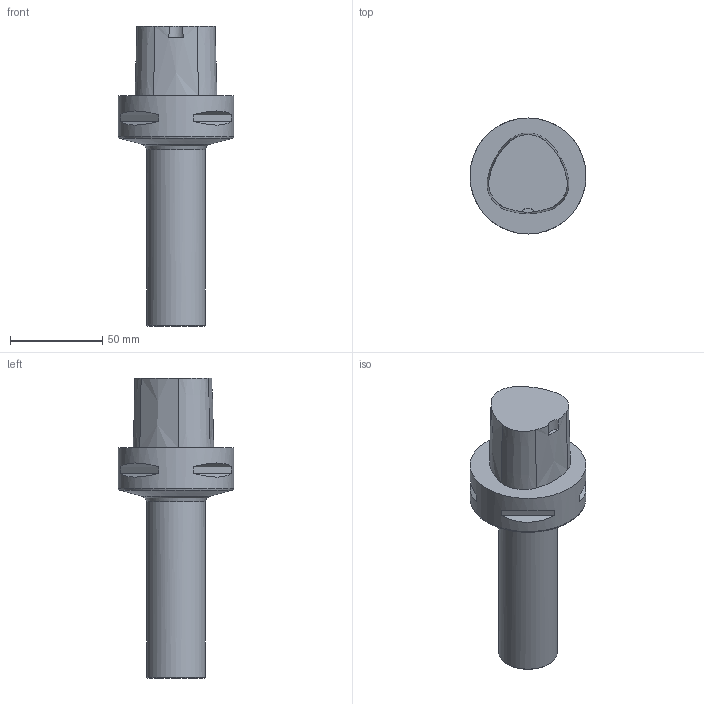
import cadquery as cq
import math

total_length = 163.0

polygon_length = 38.0
polygon_flat_reach = 20.5
polygon_lobe_reach = 23.35
polygon_flat_radius = 36.4
polygon_taper = 1 / 40
polygon_sides = 3

keyway_radius = 5.0
keyway_floor_offset = 17.7
keyway_length = 6.5

flange_diameter = 63.0
flange_corner_depth = 22.75
flange_edge_radius = 1.0
cone_angle = math.radians(15)

pocket_count = 4
pocket_start_angle = 45.0
pocket_depth_below_face = 12.0
pocket_floor_distance = 27.9
pocket_floor_width = 3.5
pocket_flank_angle = math.radians(30)

bar_diameter = 32.0
bar_neck_radius = 3.0
bar_end_chamfer = 0.5

flange_radius = flange_diameter / 2
bar_radius = bar_diameter / 2
bar_bottom = polygon_length - total_length


def polar(radius, angle, height):
    """Point at a radius and an angle in degrees, at a given height."""
    return cq.Vector(
        radius * math.cos(math.radians(angle)),
        radius * math.sin(math.radians(angle)),
        height,
    )


def polygon_outline(height):
    """Three lobe arcs, one toward +Y, joined tangentially by three flat arcs."""
    inset = polygon_taper * height
    flat_center = polygon_flat_radius - polygon_flat_reach
    radius_excess = polygon_flat_radius - polygon_lobe_reach
    lobe_center = (flat_center**2 - radius_excess**2) / (2 * radius_excess - flat_center)
    half_pitch = 180 / polygon_sides
    flat_half_turn = math.degrees(math.atan2(
        lobe_center * math.sin(math.radians(half_pitch)),
        flat_center + lobe_center * math.cos(math.radians(half_pitch)),
    ))
    edges = []
    for i in range(polygon_sides):
        lobe_angle = 90 + 2 * half_pitch * i
        flat_angle = lobe_angle + half_pitch
        next_lobe_angle = flat_angle + half_pitch
        lobe = polar(lobe_center, lobe_angle, 0)
        next_lobe = polar(lobe_center, next_lobe_angle, 0)
        lobe_radius = polygon_lobe_reach - lobe_center - inset
        lobe_start = lobe + polar(lobe_radius, lobe_angle - half_pitch + flat_half_turn, height)
        lobe_tip = polar(polygon_lobe_reach - inset, lobe_angle, height)
        flat_start = lobe + polar(lobe_radius, flat_angle - flat_half_turn, height)
        flat_middle = polar(polygon_flat_reach - inset, flat_angle, height)
        flat_end = next_lobe + polar(lobe_radius, flat_angle + flat_half_turn, height)
        edges.append(cq.Edge.makeThreePointArc(lobe_start, lobe_tip, flat_start))
        edges.append(cq.Edge.makeThreePointArc(flat_start, flat_middle, flat_end))
    return cq.Wire.assembleEdges(edges)


def make_polygon_shank():
    outlines = [polygon_outline(0), polygon_outline(polygon_length)]
    return cq.Workplane(cq.Solid.makeLoft(outlines, True))


def make_keyway():
    return (
        cq.Workplane("XY", origin=(0, 0, polygon_length - keyway_length))
        .center(0, -keyway_floor_offset - keyway_radius)
        .circle(keyway_radius)
        .extrude(keyway_length)
    )


def make_turned_body():
    """Flange, cone and bar, revolved as one profile."""
    neck_corner_z = -flange_corner_depth - (flange_radius - bar_radius) * math.tan(cone_angle)
    profile = [
        (0, 0),
        (flange_radius, 0),
        (flange_radius, -flange_corner_depth),
        (bar_radius, neck_corner_z),
        (bar_radius, bar_bottom),
        (0, bar_bottom),
    ]
    body = cq.Workplane("XZ").polyline(profile).close().revolve(360, (0, 0), (0, 1))
    body = body.faces("%CONE").edges(">Z").fillet(flange_edge_radius)
    body = body.faces("%CONE").edges("<Z").fillet(bar_neck_radius)
    return body.faces("<Z").edges().chamfer(bar_end_chamfer)


def make_pocket(angle):
    outer_half_width = (
        pocket_floor_width / 2
        + (flange_radius - pocket_floor_distance) * math.tan(pocket_flank_angle)
    )
    return (
        cq.Workplane("XZ")
        .polyline([
            (pocket_floor_distance, -pocket_depth_below_face - pocket_floor_width / 2),
            (flange_radius, -pocket_depth_below_face - outer_half_width),
            (flange_radius, -pocket_depth_below_face + outer_half_width),
            (pocket_floor_distance, -pocket_depth_below_face + pocket_floor_width / 2),
        ])
        .close()
        .extrude(flange_radius, both=True)
        .rotate((0, 0, 0), (0, 0, 1), angle)
    )


result = make_turned_body().union(make_polygon_shank()).cut(make_keyway())
for i in range(pocket_count):
    result = result.cut(make_pocket(pocket_start_angle + i * 360 / pocket_count))